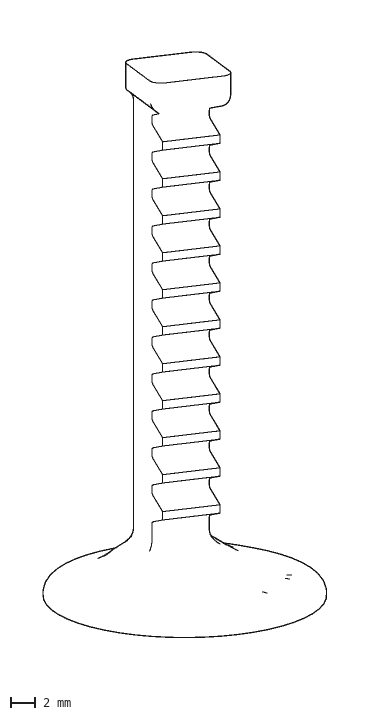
import cadquery as cq
import math

total_height = 44.4

large_radius = 2.0
small_radius = 0.98

slope_angle = math.radians(20)

pick_margin = 0.1

base_diameter = 23.0
base_height = 2.0
rim_height = 0.2

post_back = -4.95
post_front = -0.9
post_width = 5.0
tooth_count = 11
tooth_depth = 2.3
tooth_tip_width = 0.7
bottom_tooth_z = 7.45
top_tooth_z = 38.85
tooth_pitch = (top_tooth_z - bottom_tooth_z) / (tooth_count - 1)
root_radius = 0.3

foot_size = 12.0
foot_height = 2.5
foot_top = base_height + foot_height

head_size = 7.0
head_overhang = (head_size - post_width) / 2
head_wall_height = 1.75
head_flare_height = 1.78
head_front = post_back + head_size


def make_base():
    """Disc with a short wall, a rounded rim and a conical top that blends into the flat."""
    radius = base_diameter / 2
    arc_centre_x = radius - small_radius

    def rim_point(angle):
        return (
            arc_centre_x + small_radius * math.cos(angle),
            rim_height + small_radius * math.sin(angle),
        )

    cone_start_angle = math.pi / 2 - slope_angle
    cone_start = rim_point(cone_start_angle)
    flat_radius = cone_start[0] - (base_height - cone_start[1]) / math.tan(slope_angle)
    disc = (
        cq.Workplane("XZ")
        .lineTo(radius, 0)
        .lineTo(radius, rim_height)
        .threePointArc(rim_point(cone_start_angle / 2), cone_start)
        .lineTo(flat_radius, base_height)
        .lineTo(0, base_height)
        .close()
        .revolve(360, (0, 0), (0, 1))
    )
    return disc.faces(">Z").edges().fillet(small_radius)


def make_foot():
    """Lopsided pyramid with rounded slanted edges."""
    post_depth = post_front - post_back
    foot = (
        cq.Workplane("XY", origin=(0, 0, base_height))
        .rect(foot_size, foot_size)
        .workplane(offset=foot_height)
        .center((post_back + post_front) / 2, 0)
        .rect(post_depth, post_width)
        .loft(ruled=True)
    )
    return foot.edges("not(#Z)").fillet(large_radius)


def make_rack():
    """Post, teeth and head front as one profile, as wide as the head."""
    flank_rise = tooth_depth * math.tan(slope_angle)
    half_tip = tooth_tip_width / 2
    half_root = half_tip + flank_rise
    tooth_tip_x = post_front + tooth_depth
    head_root_z = top_tooth_z + tooth_pitch - half_root
    head_corner_z = head_root_z + (head_front - post_front) * math.tan(slope_angle)

    profile = cq.Workplane("XZ").moveTo(post_back, base_height).lineTo(post_front, base_height)
    for i in range(tooth_count):
        z = bottom_tooth_z + i * tooth_pitch
        profile = (
            profile.lineTo(post_front, z - half_root)
            .lineTo(tooth_tip_x, z - half_tip)
            .lineTo(tooth_tip_x, z + half_tip)
            .lineTo(post_front, z + half_root)
        )
    rack = (
        profile.lineTo(post_front, head_root_z)
        .lineTo(head_front, head_corner_z)
        .lineTo(head_front, total_height)
        .lineTo(post_back, total_height)
        .close()
        .extrude(head_size / 2, both=True)
    )
    root_edges = cq.selectors.BoxSelector(
        (post_front - root_radius, -head_size, bottom_tooth_z - tooth_pitch),
        (post_front + root_radius, head_size, total_height),
    )
    return rack.edges("|Y").edges(root_edges).fillet(root_radius)


def make_side_envelope():
    """Post width that swells through an S curve to the head width on both Y sides."""
    half_post = post_width / 2
    half_head = head_size / 2
    flare_top = total_height - head_wall_height
    flare_bottom = flare_top - head_flare_height
    flare_middle = (half_post + head_overhang / 2, (flare_top + flare_bottom) / 2)
    half = (
        cq.Workplane("YZ", origin=(post_back, 0, 0))
        .moveTo(0, base_height)
        .lineTo(half_post, base_height)
        .lineTo(half_post, flare_bottom)
        .tangentArcPoint(flare_middle, relative=False)
        .tangentArcPoint((half_head, flare_top), relative=False)
        .lineTo(half_head, total_height)
        .lineTo(0, total_height)
        .close()
        .extrude(head_size)
    )
    return half.union(half.mirror("XZ"))


def make_column():
    """Square column with rounded corners that bounds the head in plan."""
    return (
        cq.Workplane("XY", origin=(post_back + head_size / 2, 0, base_height))
        .rect(head_size, head_size)
        .extrude(total_height - base_height)
        .edges("|Z")
        .fillet(head_overhang)
    )


def make_post():
    """Toothed post with its head, rounded along the lower front edge of the head."""
    post = make_rack().intersect(make_side_envelope()).intersect(make_column())
    return post.edges("|Y and >X").edges("<Z").fillet(small_radius)


def blend_foot(body):
    """Round the joint between the post and the foot."""
    joint_edges = cq.selectors.BoxSelector(
        (post_back - pick_margin, -post_width, base_height + foot_height / 2 + pick_margin),
        (post_front + pick_margin, post_width, foot_top + pick_margin),
    )
    return body.edges(joint_edges).fillet(small_radius)


def blend_base(body):
    """Round the joint between the foot and the base disc."""
    reach = foot_size / 2 + pick_margin
    joint_edges = cq.selectors.BoxSelector(
        (-reach, -reach, base_height - pick_margin),
        (reach, reach, base_height + pick_margin),
    )
    return body.edges(joint_edges).fillet(large_radius)


post_on_foot = blend_foot(make_foot().union(make_post()))
result = blend_base(make_base().union(post_on_foot))